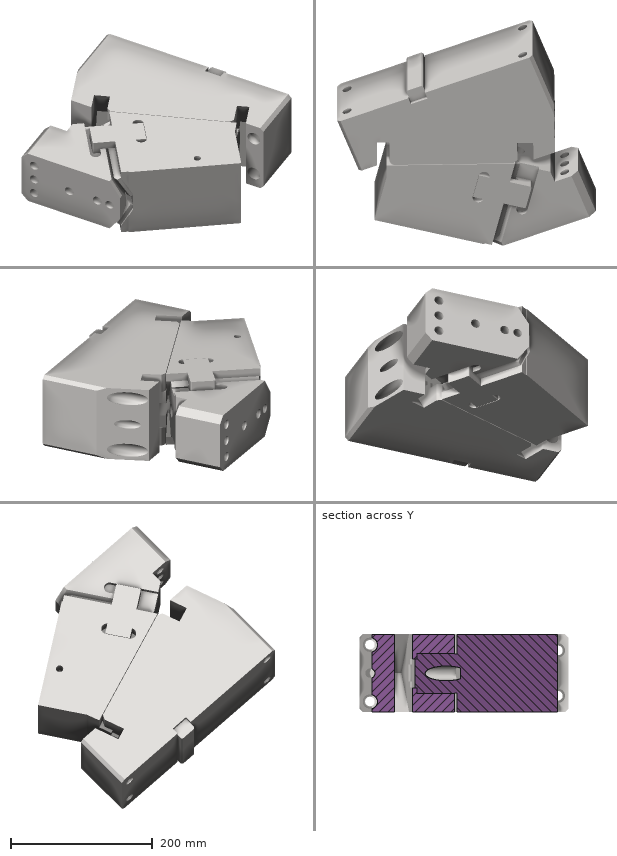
import cadquery as cq
import math

HEIGHT = 110.0
HALF_HEIGHT = HEIGHT / 2
DRIVE_ANGLE = 35.0
GUIDE_ANGLE = 20.0
PAST = 20.0

HOUSING_LENGTH = 295.0
HOUSING_BACK_Y = 275.0
HOUSING_SIDE_Y = 190.0
HOUSING_FOOT_Y = 120.0
END_CHAMFER = 5.0
KEY_X = 175.0
KEY_WIDTH = 25.0
KEY_FRONT_Y = 265.0
KEY_BACK_Y = 284.0
KEY_HEIGHT = 98.0
KEY_CHAMFER = 2.0
BOLT_PLACES = ((15.0, 40.0), (280.0, 32.0))
BOLT_DIAMETER = 13.5
BOLT_HEAD_DIAMETER = 20.0
BOLT_HEAD_FLOOR_Y = 235.0
DOWEL_DIAMETER = 13.0
DOWEL_END_Y = 220.0

GUIDE_ORIGIN = (84.7, 123.1)
GUIDE_GAP = 0.8
GUIDE_CORNER = 5.5
LEFT_WALL_S = -3.5
LEFT_NOTCH_S = -26.2
LEFT_NOTCH_T = 33.0
RIGHT_WALL_S = 176.7
RIGHT_NOTCH_S = 194.3
RIGHT_NOTCH_T = 37.0
TONGUE_END_S = 181.2
TONGUE_STEPS = ((19.0, 28.0), (29.5, 20.0), (35.0, 12.0))
SPRING_BORE_DIAMETER = 20.0
SPRING_BORE_T = 5.0
SPRING_BORE_DEPTH = 60.0

DRIVER_CORNER = (302.27, 109.4)
DRIVER_LENGTH = 170.4
DRIVER_END_W = 70.5
FRONT_STEP_W = 1.4
FRONT_STEP_U = -160.2
LIFT_HOLE_U = -60.0
LIFT_HOLE_W = 18.4
LIFT_HOLE_DIAMETER = 10.2
LIFT_HOLE_DEPTH = 20.0
DRILL_TIP_HALF_ANGLE = 59.0

V_HALF_ANGLE = 30.0
GROOVE_MOUTH_Z = 43.0
GROOVE_FLOOR_U = -153.5
WEAR_PLATE_THICKNESS = 10.5
WEAR_PLATE_WIDTH = 38.0
WEAR_PLATE_W = (3.7, 129.0)
WEAR_PLATE_LEAD = 7.3
WEAR_PLATE_LEAD_DEPTH = 4.2

SLIDE_HALF_HEIGHT = 43.2
SLIDE_LEFT_X = 9.8
SLIDE_RIGHT_X = 167.0
SLIDE_STEP_X = 45.0
SLIDE_STEP_Y = 70.0
SLIDE_CHAMFER = 10.0
SLIDE_END_W = 129.2
SLIDE_V_TOP_U = -184.0
SLIDE_RIDGE_U = -163.7
SLIDE_NOSE_Y = 6.0
CENTRE_HOLE_X = (30.0, 85.8, 130.3)
MOUNT_HOLE_DIAMETER = 13.5
MOUNT_HOLE_PITCH = 25.0
DOWEL_HOLE_X = 150.0
ROD_BORE_U = -176.3
ROD_BORE_DIAMETER = 20.0
ROD_BORE_DEPTH = 60.0

BRIDGE_W = (70.0, 105.5)
BRIDGE_U = (-202.3, -126.0)
BRIDGE_CORNER = 2.0
SLOT_FLOOR_Z = 36.0
SLIDE_SLOT_U = (-207.0, -191.7)
SLIDE_SLOT_END_W = 53.0
DRIVER_SLOT_U = (-141.0, -125.4)
DRIVER_SLOT_W = (63.0, 113.0)
ROUND_END = 0.499


def direction(angle):
    return (math.cos(math.radians(angle)), math.sin(math.radians(angle)), 0)


def section_plane(origin, angle):
    """Upright plane, with x along angle and y along Z, that faces angle - 90."""
    return cq.Plane(origin=(*origin, 0), xDir=direction(angle), normal=direction(angle - 90))


def to_world(origin, angle, point):
    along = direction(angle)
    across = direction(angle + 90)
    return tuple(origin[i] + point[0] * along[i] + point[1] * across[i] for i in range(2))


def guide_point(s, t):
    return to_world(GUIDE_ORIGIN, GUIDE_ANGLE, (s, t))


def guide_point_at_y(s, y):
    tilt = math.radians(GUIDE_ANGLE)
    return guide_point(s, (y - GUIDE_ORIGIN[1] - s * math.sin(tilt)) / math.cos(tilt))


def drive_point(u, w):
    return to_world(DRIVER_CORNER, DRIVE_ANGLE, (u, w))


def drive_point_at_x(x, u=None, w=None):
    """Point at x on the line of constant U, or on the line of constant W."""
    tilt = math.radians(DRIVE_ANGLE)
    shift = x - DRIVER_CORNER[0]
    if w is None:
        return drive_point(u, (u * math.cos(tilt) - shift) / math.sin(tilt))
    return drive_point((shift + w * math.sin(tilt)) / math.cos(tilt), w)


def prism(points, half_height):
    return cq.Workplane("XY").polyline(points).close().extrude(half_height, both=True)


def drive_box(u_range, w_range, z_range):
    """Box given by its U, W and Z ranges, still in the driver's own axes."""
    sizes = [high - low for low, high in (u_range, w_range, z_range)]
    centre = tuple((low + high) / 2 for low, high in (u_range, w_range, z_range))
    return cq.Workplane("XY").box(*sizes).translate(centre)


def place_on_driver(body):
    """Move a body from the driver's own axes to its place in the unit."""
    return body.rotate((0, 0, 0), (0, 0, 1), DRIVE_ANGLE).translate((*DRIVER_CORNER, 0))


def both_sides(upper):
    return upper, upper.mirror("XY")


def hole_along_y(x, z, diameter, y_start, y_end):
    """Cylinder along Y. The XZ workplane faces -Y, so it is extruded backwards."""
    start = cq.Workplane("XZ", origin=(x, y_start, z))
    return start.circle(diameter / 2).extrude(y_start - y_end)


def tongue(s_start, s_end):
    """Stepped guide tongue, which narrows away from the driver."""
    origin = to_world(GUIDE_ORIGIN, GUIDE_ANGLE, (s_start, 0))
    plane = section_plane(origin, GUIDE_ANGLE + 90)
    body = cq.Workplane(plane)
    for reach, half_height in TONGUE_STEPS:
        step = cq.Workplane(plane).center(reach / 2, 0).rect(reach, 2 * half_height)
        body = body.union(step.extrude(s_end - s_start))
    return body


def notch_floor(s_start, s_end, edge_t):
    """Cutter that slopes a notch floor deeper from the top and bottom towards Z = 0."""
    origin = to_world(GUIDE_ORIGIN, GUIDE_ANGLE, (s_start, 0))
    plane = section_plane(origin, GUIDE_ANGLE + 90)
    deepest_t = edge_t + HALF_HEIGHT * math.tan(math.radians(V_HALF_ANGLE))
    profile = [(edge_t, HALF_HEIGHT), (deepest_t, 0), (edge_t, -HALF_HEIGHT)]
    return cq.Workplane(plane).polyline(profile).close().extrude(s_end - s_start)


def make_housing():
    slant_x = (HOUSING_SIDE_Y - HOUSING_FOOT_Y) * math.tan(math.radians(GUIDE_ANGLE))
    corner_t = GUIDE_GAP + GUIDE_CORNER
    housing = prism(
        [
            (0, HOUSING_BACK_Y),
            (0, HOUSING_SIDE_Y),
            (slant_x, HOUSING_FOOT_Y),
            guide_point_at_y(LEFT_NOTCH_S, HOUSING_FOOT_Y),
            guide_point(LEFT_NOTCH_S, LEFT_NOTCH_T),
            guide_point(LEFT_WALL_S, LEFT_NOTCH_T),
            guide_point(LEFT_WALL_S, corner_t),
            guide_point(LEFT_WALL_S + GUIDE_CORNER, GUIDE_GAP),
            guide_point(RIGHT_WALL_S - GUIDE_CORNER, GUIDE_GAP),
            guide_point(RIGHT_WALL_S, corner_t),
            guide_point(RIGHT_WALL_S, RIGHT_NOTCH_T),
            guide_point(RIGHT_NOTCH_S, RIGHT_NOTCH_T),
            guide_point_at_y(RIGHT_NOTCH_S, HOUSING_SIDE_Y),
            (HOUSING_LENGTH, HOUSING_SIDE_Y),
            (HOUSING_LENGTH, HOUSING_BACK_Y),
        ],
        HALF_HEIGHT,
    )
    blank = cq.Workplane("XY").box(HOUSING_LENGTH, 2 * HOUSING_BACK_Y, HEIGHT)
    blank = blank.edges("|Y").chamfer(END_CHAMFER).translate((HOUSING_LENGTH / 2, 0, 0))
    housing = housing.intersect(blank)

    housing = housing.cut(notch_floor(LEFT_NOTCH_S, LEFT_WALL_S, LEFT_NOTCH_T))
    housing = housing.cut(notch_floor(RIGHT_WALL_S, RIGHT_NOTCH_S, RIGHT_NOTCH_T))
    housing = housing.cut(tongue(LEFT_NOTCH_S, RIGHT_NOTCH_S))

    key_depth = KEY_BACK_Y - KEY_FRONT_Y
    key_y = (KEY_BACK_Y + KEY_FRONT_Y) / 2
    key = cq.Workplane("XY").box(KEY_WIDTH, key_depth, KEY_HEIGHT)
    keyway = cq.Workplane("XY").box(KEY_WIDTH, key_depth, HEIGHT).translate((KEY_X, key_y, 0))
    key = key.edges("|Z and >Y").chamfer(KEY_CHAMFER).translate((KEY_X, key_y, 0))
    housing = housing.cut(keyway).union(key)

    for x, bolt_z in BOLT_PLACES:
        for z in (-bolt_z, bolt_z):
            shank = hole_along_y(x, z, BOLT_DIAMETER, HOUSING_FOOT_Y, HOUSING_BACK_Y)
            head = hole_along_y(x, z, BOLT_HEAD_DIAMETER, HOUSING_FOOT_Y, BOLT_HEAD_FLOOR_Y)
            housing = housing.cut(shank).cut(head)
    dowel = hole_along_y(BOLT_PLACES[0][0], 0, DOWEL_DIAMETER, HOUSING_FOOT_Y, DOWEL_END_Y)
    return housing.cut(dowel)


def v_groove():
    """Cutter for the V groove along the whole driver."""
    slope = math.tan(math.radians(V_HALF_ANGLE))
    floor_z = GROOVE_MOUTH_Z - (GROOVE_FLOOR_U + DRIVER_LENGTH) / slope
    profile = [
        (-DRIVER_LENGTH, GROOVE_MOUTH_Z),
        (GROOVE_FLOOR_U, floor_z),
        (GROOVE_FLOOR_U, -floor_z),
        (-DRIVER_LENGTH, -GROOVE_MOUTH_Z),
    ]
    plane = section_plane(to_world(DRIVER_CORNER, DRIVE_ANGLE, (0, -PAST)), DRIVE_ANGLE)
    length = SLIDE_END_W + 3 * PAST
    return cq.Workplane(plane).polyline(profile).close().extrude(-length)


def wear_plate():
    """Upper wear plate lying on a groove flank, with a lead-in at its front end."""
    tilt = math.radians(V_HALF_ANGLE)
    along_u = direction(DRIVE_ANGLE)
    inward = (math.cos(tilt) * along_u[0], math.cos(tilt) * along_u[1], math.sin(tilt))
    down_flank = (math.sin(tilt) * along_u[0], math.sin(tilt) * along_u[1], -math.cos(tilt))
    mouth = drive_point(-DRIVER_LENGTH, 0)
    plane = cq.Plane(origin=(*mouth, GROOVE_MOUTH_Z), xDir=inward, normal=down_flank)
    w_side = 1 if plane.yDir.dot(cq.Vector(*direction(DRIVE_ANGLE + 90))) > 0 else -1
    front, back = WEAR_PLATE_W
    face = -WEAR_PLATE_THICKNESS
    outline = [
        (0, w_side * front),
        (face + WEAR_PLATE_LEAD_DEPTH, w_side * front),
        (face, w_side * (front + WEAR_PLATE_LEAD)),
        (face, w_side * back),
        (0, w_side * back),
    ]
    return cq.Workplane(plane).polyline(outline).close().extrude(WEAR_PLATE_WIDTH)


def slide_slot():
    """Upper slot for a bridge hook: rounded at the front, open at the back of the slide."""
    width = SLIDE_SLOT_U[1] - SLIDE_SLOT_U[0]
    w_range = (SLIDE_SLOT_END_W, SLIDE_END_W + PAST)
    slot = drive_box(SLIDE_SLOT_U, w_range, (SLOT_FLOOR_Z, HALF_HEIGHT))
    return place_on_driver(slot.edges("|Z and <Y").fillet(width * ROUND_END))


def driver_slot():
    """Upper slot, rounded at both ends, that holds the inner hook of a bridge."""
    width = DRIVER_SLOT_U[1] - DRIVER_SLOT_U[0]
    slot = drive_box(DRIVER_SLOT_U, DRIVER_SLOT_W, (SLOT_FLOOR_Z, HALF_HEIGHT))
    return place_on_driver(slot.edges("|Z").fillet(width * ROUND_END))


def bridge():
    """Upper bridge: a bar over the slide with a hook down into each slot."""
    outer_hook_u = (BRIDGE_U[0], SLIDE_SLOT_U[1])
    inner_hook_u = (DRIVER_SLOT_U[0], BRIDGE_U[1])
    bar = drive_box(BRIDGE_U, BRIDGE_W, (SLIDE_HALF_HEIGHT, HALF_HEIGHT))
    bar = bar.union(drive_box(outer_hook_u, BRIDGE_W, (SLOT_FLOOR_Z, HALF_HEIGHT)))
    bar = bar.edges("|Z and <X").fillet(BRIDGE_CORNER)
    bar = bar.union(drive_box(inner_hook_u, BRIDGE_W, (SLOT_FLOOR_Z, HALF_HEIGHT)))
    return place_on_driver(bar)


def make_driver():
    driver = prism(
        [
            drive_point(0, 0),
            drive_point(0, DRIVER_END_W),
            guide_point(TONGUE_END_S, 0),
            GUIDE_ORIGIN,
            drive_point(-DRIVER_LENGTH, FRONT_STEP_W),
            drive_point(FRONT_STEP_U, FRONT_STEP_W),
            drive_point(FRONT_STEP_U, 0),
        ],
        HALF_HEIGHT,
    )
    driver = driver.cut(v_groove()).union(tongue(0, TONGUE_END_S))

    for plate in both_sides(wear_plate()):
        driver = driver.union(plate)
    for slot in both_sides(driver_slot()):
        driver = driver.cut(slot)
    for bar in both_sides(bridge()):
        driver = driver.union(bar)

    bore_plane = cq.Plane(
        origin=(*guide_point(0, SPRING_BORE_T), 0),
        xDir=(0, 0, 1),
        normal=direction(GUIDE_ANGLE),
    )
    bore = cq.Workplane(bore_plane).circle(SPRING_BORE_DIAMETER / 2).extrude(SPRING_BORE_DEPTH)
    lift_centre = (*drive_point(LIFT_HOLE_U, LIFT_HOLE_W), HALF_HEIGHT)
    radius = LIFT_HOLE_DIAMETER / 2
    lift_hole = cq.Workplane("XY", origin=lift_centre).circle(radius).extrude(-LIFT_HOLE_DEPTH)
    tip = cq.Solid.makeCone(
        radius,
        0,
        radius / math.tan(math.radians(DRILL_TIP_HALF_ANGLE)),
        pnt=cq.Vector(*lift_centre) - cq.Vector(0, 0, LIFT_HOLE_DEPTH),
        dir=cq.Vector(0, 0, -1),
    )
    return driver.cut(bore).cut(lift_hole).cut(tip)


def v_cut(plane, top, slope, length):
    """Cutter above a slide flank that starts at (top, SLIDE_HALF_HEIGHT) and falls to Z = 0."""
    foot = top + slope * SLIDE_HALF_HEIGHT
    profile = [
        (top - slope * PAST, SLIDE_HALF_HEIGHT + PAST),
        (foot, 0),
        (foot + PAST, 0),
        (foot + PAST, SLIDE_HALF_HEIGHT + PAST),
    ]
    return cq.Workplane(plane).polyline(profile).close().extrude(length)


def flank_cut():
    """Upper flank of the V: it follows W, but runs straight along Y through the nose."""
    tilt = math.radians(DRIVE_ANGLE)
    slope = math.tan(math.radians(V_HALF_ANGLE))
    drive_section = section_plane(to_world(DRIVER_CORNER, DRIVE_ANGLE, (0, -PAST)), DRIVE_ANGLE)
    along_w = v_cut(drive_section, SLIDE_V_TOP_U, slope, -(SLIDE_END_W + 2 * PAST))
    behind_nose = cq.Workplane("XY").box(2 * HOUSING_LENGTH, HOUSING_LENGTH, HEIGHT + 2 * PAST)
    behind_nose = behind_nose.translate((0, SLIDE_NOSE_Y + HOUSING_LENGTH / 2, 0))

    nose_w = (SLIDE_NOSE_Y - DRIVER_CORNER[1] - SLIDE_V_TOP_U * math.sin(tilt)) / math.cos(tilt)
    nose_x = drive_point(SLIDE_V_TOP_U, nose_w)[0]
    nose_section = cq.Plane(origin=(0, SLIDE_NOSE_Y, 0), xDir=(1, 0, 0), normal=(0, -1, 0))
    along_y = v_cut(nose_section, nose_x, slope / math.cos(tilt), SLIDE_NOSE_Y)
    return along_w.intersect(behind_nose), along_y


def back_land_cut():
    """Lowered land between the slot and the V, behind the bridge."""
    u_range = (SLIDE_SLOT_U[0], SLIDE_RIDGE_U)
    w_range = (BRIDGE_W[1], SLIDE_END_W + PAST)
    return place_on_driver(drive_box(u_range, w_range, (SLOT_FLOOR_Z, HALF_HEIGHT)))


def make_slide():
    slide = prism(
        [
            (SLIDE_LEFT_X, 0),
            (SLIDE_RIGHT_X, 0),
            drive_point_at_x(SLIDE_RIGHT_X, u=SLIDE_RIDGE_U),
            drive_point(SLIDE_RIDGE_U, SLIDE_END_W),
            drive_point_at_x(SLIDE_STEP_X, w=SLIDE_END_W),
            (SLIDE_STEP_X, SLIDE_STEP_Y),
            (SLIDE_LEFT_X, SLIDE_STEP_Y),
        ],
        SLIDE_HALF_HEIGHT,
    )
    slide = slide.faces("<X").edges("|Y").chamfer(SLIDE_CHAMFER)

    for upper in (*flank_cut(), slide_slot(), back_land_cut()):
        for cutter in both_sides(upper):
            slide = slide.cut(cutter)

    hole_places = [(x, 0) for x in CENTRE_HOLE_X]
    hole_places += [(CENTRE_HOLE_X[0], -MOUNT_HOLE_PITCH), (CENTRE_HOLE_X[0], MOUNT_HOLE_PITCH)]
    for x, z in hole_places:
        slide = slide.cut(hole_along_y(x, z, MOUNT_HOLE_DIAMETER, -PAST, HOUSING_SIDE_Y))
    slide = slide.cut(hole_along_y(DOWEL_HOLE_X, 0, DOWEL_DIAMETER, -PAST, HOUSING_SIDE_Y))

    rod_plane = cq.Plane(
        origin=(*drive_point(ROD_BORE_U, SLIDE_END_W), 0),
        xDir=(0, 0, 1),
        normal=direction(DRIVE_ANGLE - 90),
    )
    rod_bore = cq.Workplane(rod_plane).circle(ROD_BORE_DIAMETER / 2).extrude(ROD_BORE_DEPTH)
    return slide.cut(rod_bore)


housing = make_housing()
driver = make_driver()
slide = make_slide()
result = cq.Compound.makeCompound([housing.val(), driver.val(), slide.val()])